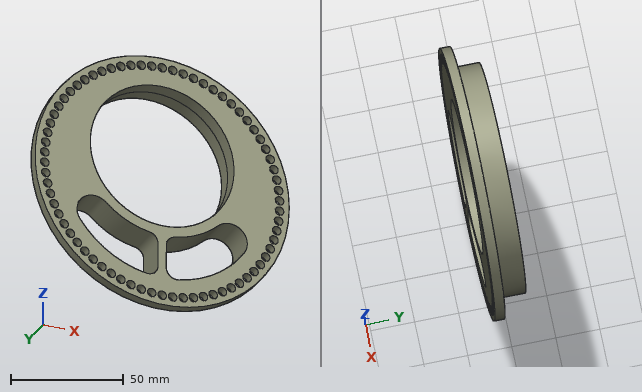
import cadquery as cq
import math

flange_diameter = 123.8
flange_thickness = 4.6
total_depth = 16.0
hub_diameter = 104.8

bore_diameter = 70.0
seat_diameter = 72.0
seat_start = 7.0
bore_offset = 12.8

hole_count = 70
hole_diameter = 4.1
hole_circle_diameter = 114.4

web_width = 4.1
window_wall = 4.0
window_end_radius = 8.4
window_corner_radius = 5.0
window_outer_radius = hub_diameter / 2 - window_wall
window_inner_radius = seat_diameter / 2 + window_wall


def cylinder(diameter, depth, start=0.0, height=0.0):
    """Cylinder running towards +Y from the given start, with its axis at the given Z."""
    plane = cq.Workplane("XZ", origin=(0, start, height))
    return plane.circle(diameter / 2).extrude(-depth)


def make_body():
    flange = cylinder(flange_diameter, flange_thickness)
    hub = cylinder(hub_diameter, total_depth)
    return flange.union(hub)


def make_stepped_bore():
    bore = cylinder(bore_diameter, total_depth, height=bore_offset)
    seat = cylinder(seat_diameter, total_depth - seat_start, seat_start, bore_offset)
    return bore.union(seat)


def make_hole_ring():
    return (
        cq.Workplane("XZ")
        .polarArray(hole_circle_diameter / 2, 90, 360, hole_count)
        .circle(hole_diameter / 2)
        .extrude(-flange_thickness)
    )


def point_on_circle(radius, x, center_z=0.0):
    """Point at the given X on the lower half of a circle centred on the Z axis."""
    return (x, center_z - math.sqrt(radius**2 - x**2))


def make_right_window():
    """Curved slot between two eccentric arcs, flat at the web and fully rounded at its far end."""
    end_to_axis = window_outer_radius - window_end_radius
    end_to_bore = window_inner_radius + window_end_radius
    end_z = (end_to_axis**2 - end_to_bore**2 + bore_offset**2) / (2 * bore_offset)
    end_x = math.sqrt(end_to_axis**2 - end_z**2)

    outer_tangent_x = end_x * window_outer_radius / end_to_axis
    inner_tangent_x = end_x * window_inner_radius / end_to_bore
    web_x = web_width / 2
    outer_middle_x = (web_x + outer_tangent_x) / 2
    inner_middle_x = (web_x + inner_tangent_x) / 2

    outer_angle = math.atan2(end_z, end_x)
    inner_angle = math.atan2(bore_offset - end_z, -end_x)
    middle_angle = (outer_angle + inner_angle) / 2
    end_middle = (
        end_x + window_end_radius * math.cos(middle_angle),
        end_z + window_end_radius * math.sin(middle_angle),
    )

    window = (
        cq.Workplane("XZ")
        .moveTo(*point_on_circle(window_outer_radius, web_x))
        .threePointArc(
            point_on_circle(window_outer_radius, outer_middle_x),
            point_on_circle(window_outer_radius, outer_tangent_x),
        )
        .threePointArc(
            end_middle,
            point_on_circle(window_inner_radius, inner_tangent_x, bore_offset),
        )
        .threePointArc(
            point_on_circle(window_inner_radius, inner_middle_x, bore_offset),
            point_on_circle(window_inner_radius, web_x, bore_offset),
        )
        .close()
        .extrude(-total_depth)
    )
    return window.faces("<X").edges("|Y").fillet(window_corner_radius)


right_window = make_right_window()
left_window = right_window.mirror("YZ")

result = (
    make_body()
    .cut(make_stepped_bore())
    .cut(make_hole_ring())
    .cut(right_window)
    .cut(left_window)
)